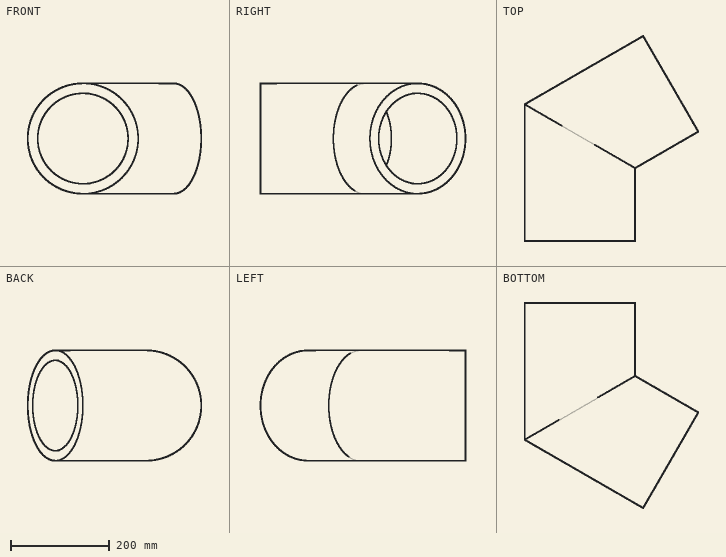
import cadquery as cq
import math

outer_diameter = 225.0
wall_thickness = 20.5
leg_length = 213.33
bend_angle = 60.0

inner_diameter = outer_diameter - 2 * wall_thickness
bend = math.radians(bend_angle)
inlet_centre = (0, -leg_length)
mitre_centre = (0, 0)
outlet_centre = (leg_length * math.sin(bend), leg_length * math.cos(bend))


def mitred_rod(diameter):
    """Solid round bar following both legs, with a sharp mitre between them."""
    centreline = cq.Workplane("XY").polyline([inlet_centre, mitre_centre, outlet_centre])
    inlet_face = cq.Workplane("XZ", origin=(*inlet_centre, 0)).circle(diameter / 2)
    return inlet_face.sweep(centreline, transition="right")


result = mitred_rod(outer_diameter).cut(mitred_rod(inner_diameter))